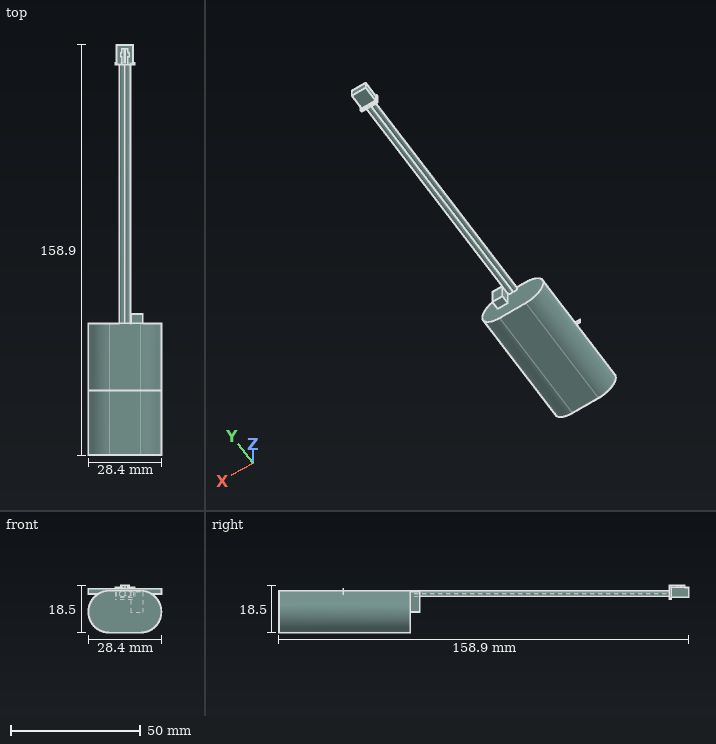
import cadquery as cq

PACK_WIDTH = 28.4
PACK_HEIGHT = 16.3
PACK_LENGTH = 51.0

PLATE_THICKNESS = 0.05
PLATE_Y = 25.0
PLATE_BOTTOM = 15.0
PLATE_TOP = 17.1

WIRE_DIAMETER = 2.2
WIRE_OVERLAP = 0.02
WIRE_SPACING = WIRE_DIAMETER - WIRE_OVERLAP
WIRE_Z = PACK_HEIGHT - WIRE_DIAMETER / 2

BLOCK_RIGHT = 7.0
BLOCK_LEFT = 2.3
BLOCK_DEPTH = 3.7
BLOCK_BOTTOM = 8.0
BLOCK_TOP = 15.9

TOTAL_LENGTH = 158.9
TOTAL_HEIGHT = 18.5
CONNECTOR_LENGTH = 7.7
HOUSING_WIDTH = 6.5
HOUSING_BOTTOM = 13.7
HOUSING_TOP = 17.6
FLANGE_WIDTH = 7.5
FLANGE_THICKNESS = 0.8
FLANGE_BOTTOM = 12.9
CONNECTOR_Y = TOTAL_LENGTH - CONNECTOR_LENGTH

RIB_INNER_X = 0.15
RIB_OUTER_X = 1.15
RIB_START = CONNECTOR_Y + FLANGE_THICKNESS
RIB_END_SETBACK = 1.6
RIB_END = TOTAL_LENGTH - RIB_END_SETBACK
BARB_OUTER_X = 1.65
BARB_SETBACK = 3.1
BARB_START = CONNECTOR_Y + BARB_SETBACK
BARB_FLAT_LENGTH = 1.3
BARB_TAPER_LENGTH = 0.6


def box(x_center, y_start, z_bottom, width, length, height):
    """Box centred on X, starting at a given Y and Z."""
    corner = (x_center - width / 2, y_start, z_bottom)
    return cq.Workplane("XY").box(width, length, height, centered=False).translate(corner)


def make_pack():
    section = cq.Workplane("XZ").center(0, PACK_HEIGHT / 2).slot2D(PACK_WIDTH, PACK_HEIGHT)
    return section.extrude(-PACK_LENGTH)


def make_plate():
    y_start = PLATE_Y - PLATE_THICKNESS / 2
    return box(0, y_start, PLATE_BOTTOM, PACK_WIDTH, PLATE_THICKNESS, PLATE_TOP - PLATE_BOTTOM)


def make_wires():
    wire_plane = cq.Workplane("XZ", origin=(0, PACK_LENGTH, WIRE_Z))
    wire = wire_plane.circle(WIRE_DIAMETER / 2).extrude(PACK_LENGTH - CONNECTOR_Y)
    right_wire = wire.translate((WIRE_SPACING / 2, 0, 0))
    return right_wire.union(right_wire.mirror("YZ"))


def make_block():
    x_center = (BLOCK_LEFT + BLOCK_RIGHT) / 2
    width = BLOCK_RIGHT - BLOCK_LEFT
    return box(x_center, PACK_LENGTH, BLOCK_BOTTOM, width, BLOCK_DEPTH, BLOCK_TOP - BLOCK_BOTTOM)


def make_rib():
    """Latch rib on the +X side: square barb shoulder facing the wires, tapered towards the far end."""
    barb_flat_end = BARB_START + BARB_FLAT_LENGTH
    outline = [
        (RIB_INNER_X, RIB_START),
        (RIB_OUTER_X, RIB_START),
        (RIB_OUTER_X, BARB_START),
        (BARB_OUTER_X, BARB_START),
        (BARB_OUTER_X, barb_flat_end),
        (RIB_OUTER_X, barb_flat_end + BARB_TAPER_LENGTH),
        (RIB_OUTER_X, RIB_END),
        (RIB_INNER_X, RIB_END),
    ]
    plan = cq.Workplane("XY", origin=(0, 0, HOUSING_TOP)).polyline(outline).close()
    return plan.extrude(TOTAL_HEIGHT - HOUSING_TOP)


def make_connector():
    housing_height = HOUSING_TOP - HOUSING_BOTTOM
    flange_height = HOUSING_TOP - FLANGE_BOTTOM
    housing = box(0, CONNECTOR_Y, HOUSING_BOTTOM, HOUSING_WIDTH, CONNECTOR_LENGTH, housing_height)
    flange = box(0, CONNECTOR_Y, FLANGE_BOTTOM, FLANGE_WIDTH, FLANGE_THICKNESS, flange_height)
    tab_height = TOTAL_HEIGHT - HOUSING_TOP
    tab = box(0, CONNECTOR_Y, HOUSING_TOP, 2 * RIB_OUTER_X, FLANGE_THICKNESS, tab_height)
    rib = make_rib()
    return housing.union(flange).union(tab).union(rib).union(rib.mirror("YZ"))


result = make_pack()
for piece in (make_plate(), make_wires(), make_block(), make_connector()):
    result = result.union(piece)